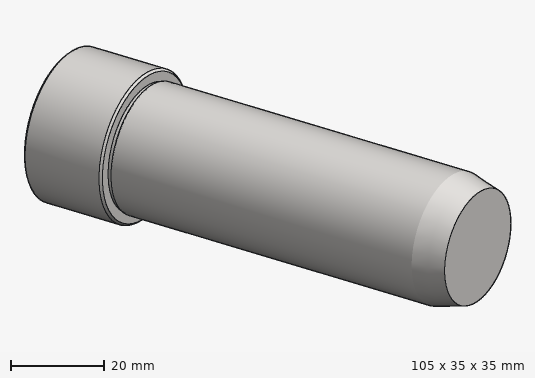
import cadquery as cq
import math

total_length = 105.0
head_diameter = 35.0
head_length = 20.0
head_chamfer = 0.5
shank_diameter = 30.0
undercut_width = 0.9
undercut_depth = 0.3
lead_length = 7.1
lead_angle = 15.0

shank_radius = shank_diameter / 2
tip_radius = shank_radius - lead_length * math.tan(math.radians(lead_angle))


def cylinder_along_x(start, length, diameter):
    """Solid cylinder on the X axis, starting at the given X."""
    return cq.Workplane("YZ", origin=(start, 0, 0)).circle(diameter / 2).extrude(length)


def make_head():
    """Cylindrical head with both rims chamfered."""
    return cylinder_along_x(0, head_length, head_diameter).edges().chamfer(head_chamfer)


def make_shank():
    """Shank with a shallow undercut below the head and a tapered lead-in tip."""
    undercut_radius = shank_radius - undercut_depth
    undercut_end = head_length + undercut_width
    profile = [
        (head_length, 0),
        (head_length, undercut_radius),
        (undercut_end, undercut_radius),
        (undercut_end, shank_radius),
        (total_length - lead_length, shank_radius),
        (total_length, tip_radius),
        (total_length, 0),
    ]
    return cq.Workplane("XY").polyline(profile).close().revolve(360, (0, 0, 0), (1, 0, 0))


result = make_head().union(make_shank())